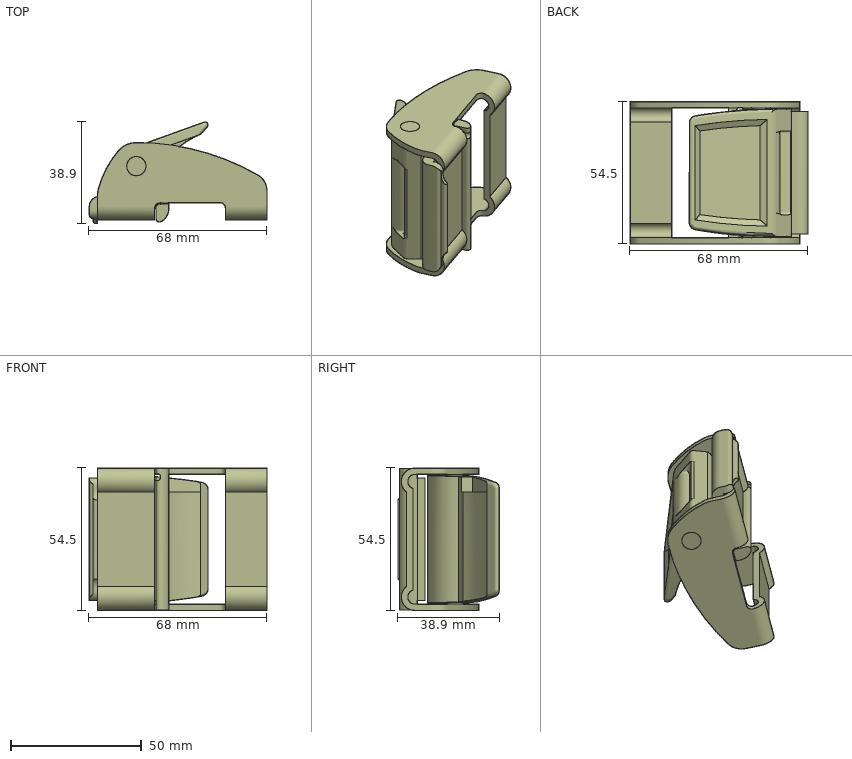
import cadquery as cq
import math

REACH = 68

PIN_X = 14.9
PIN_Y = 20.6
PIN_SHAFT_RADIUS = 3.0
PIN_HEAD_RADIUS = 3.7

FRAME_LENGTH = 64.9
FRAME_WIDTH = 54.5
FRAME_HALF_WIDTH = FRAME_WIDTH / 2
SHEET = 2.45
BEND_RADIUS = 5.2
BASE_RECESS = 2.0
CREST_RADIUS = 9.05
BACK_RADIUS = 93.15
TAIL_RADIUS = 7.1
WINDOW_START = 21.9
WINDOW_END = 48.9
WINDOW_TOP = 6.6
WINDOW_CORNER = 2.05

PAD_HALF_WIDTH = 23.45
PAD_TOP = 9.1
PAD_BOTTOM = BASE_RECESS + SHEET
PAD_END = 27.1
NOSE_OVERHANG = 3.1
NOSE_RADIUS = 4.1
NOSE_LOW_RADIUS = 1.4
NOSE_LOW = 2.05
LIP_BOTTOM = -1.35
LIP_OVERHANG = 1.6
LIP_RADIUS = 1.0
ROD_START = 22.4
ROD_END = 27.35
ROD_TOP = 6.1
ROD_BOTTOM = -0.75
ROD_HALF_WIDTH = 27.05

LEVER_HALF_WIDTH = 24.35
HANDLE_ANGLE = 19.8
HANDLE_TOP = 7.1
HANDLE_THICKNESS = 3.95


def circle_point(center_x, center_y, radius, degrees):
    angle = math.radians(degrees)
    return (center_x + radius * math.cos(angle), center_y + radius * math.sin(angle))


def handle_point(along, above):
    """A point in XY from its distances along and square to the handle, measured from the pin axis."""
    slope = math.radians(HANDLE_ANGLE)
    return (
        PIN_X + along * math.cos(slope) - above * math.sin(slope),
        PIN_Y + along * math.sin(slope) + above * math.cos(slope),
    )


def slab(sketch, z_low, z_high):
    """Extrude an XY outline between two heights."""
    return sketch.extrude(z_high - z_low).translate((0, 0, z_low))


def frame_section():
    bend_z = FRAME_HALF_WIDTH - BEND_RADIUS
    inner_radius = BEND_RADIUS - SHEET
    base_inside = BASE_RECESS + SHEET
    outer_crease = bend_z - math.sqrt(BEND_RADIUS**2 - (BEND_RADIUS - BASE_RECESS) ** 2)
    inner_crease = bend_z - math.sqrt(inner_radius**2 - (BEND_RADIUS - base_inside) ** 2)
    plate_inside = FRAME_HALF_WIDTH - SHEET
    outer_mid = circle_point(BEND_RADIUS, bend_z, BEND_RADIUS, 160)
    inner_mid = circle_point(BEND_RADIUS, bend_z, inner_radius, 150)
    return (
        cq.Workplane("YZ")
        .moveTo(REACH, FRAME_HALF_WIDTH)
        .lineTo(BEND_RADIUS, FRAME_HALF_WIDTH)
        .threePointArc(outer_mid, (BASE_RECESS, outer_crease))
        .lineTo(BASE_RECESS, -outer_crease)
        .threePointArc((outer_mid[0], -outer_mid[1]), (BEND_RADIUS, -FRAME_HALF_WIDTH))
        .lineTo(REACH, -FRAME_HALF_WIDTH)
        .lineTo(REACH, -plate_inside)
        .lineTo(BEND_RADIUS, -plate_inside)
        .threePointArc((inner_mid[0], -inner_mid[1]), (base_inside, -inner_crease))
        .lineTo(base_inside, inner_crease)
        .threePointArc(inner_mid, (BEND_RADIUS, plate_inside))
        .lineTo(REACH, plate_inside)
        .close()
    )


def side_outline():
    crest_y = PIN_Y + CREST_RADIUS
    back_y = crest_y - BACK_RADIUS
    tail_x = FRAME_LENGTH - TAIL_RADIUS
    tail_y = back_y + math.sqrt((BACK_RADIUS - TAIL_RADIUS) ** 2 - (tail_x - PIN_X) ** 2)
    tail_angle = math.degrees(math.atan2(tail_y - back_y, tail_x - PIN_X))
    return (
        cq.Workplane("XY")
        .moveTo(0, 0)
        .lineTo(0, 9.2)
        .tangentArcPoint((0.5, 12.4), relative=False)
        .threePointArc((3.55, 19.9), circle_point(PIN_X, PIN_Y, CREST_RADIUS, 142))
        .threePointArc(circle_point(PIN_X, PIN_Y, CREST_RADIUS, 114), (PIN_X, crest_y))
        .threePointArc(
            circle_point(PIN_X, back_y, BACK_RADIUS, (90 + tail_angle) / 2),
            circle_point(PIN_X, back_y, BACK_RADIUS, tail_angle),
        )
        .tangentArcPoint((FRAME_LENGTH, tail_y), relative=False)
        .lineTo(FRAME_LENGTH, 0)
        .close()
    )


def make_frame():
    sheet = frame_section().extrude(FRAME_LENGTH)
    sheet = sheet.intersect(slab(side_outline(), -REACH, REACH))
    window = cq.Workplane("XY").rect(WINDOW_END - WINDOW_START, 2 * WINDOW_TOP).extrude(2 * REACH)
    window = window.edges("|Z").fillet(WINDOW_CORNER)
    window = window.translate(((WINDOW_START + WINDOW_END) / 2, 0, -REACH))
    pin_hole = slab(cq.Workplane("XY").center(PIN_X, PIN_Y).circle(PIN_HEAD_RADIUS), -REACH, REACH)
    return sheet.cut(window).cut(pin_hole)


def make_pin():
    center = cq.Workplane("XY").center(PIN_X, PIN_Y)
    inside = FRAME_HALF_WIDTH - SHEET
    pin = slab(center.circle(PIN_SHAFT_RADIUS), -inside, inside)
    for low in (-FRAME_HALF_WIDTH, inside):
        pin = pin.union(slab(center.circle(PIN_HEAD_RADIUS), low, low + SHEET))
    return pin


def pad_profile():
    nose_x = NOSE_RADIUS - NOSE_OVERHANG
    low_x = NOSE_LOW_RADIUS - NOSE_OVERHANG
    return (
        cq.Workplane("XY")
        .moveTo(PAD_END, PAD_TOP)
        .lineTo(nose_x, PAD_TOP)
        .tangentArcPoint((-NOSE_OVERHANG, PAD_TOP - NOSE_RADIUS), relative=False)
        .lineTo(-NOSE_OVERHANG, NOSE_LOW)
        .tangentArcPoint((low_x, NOSE_LOW - NOSE_LOW_RADIUS), relative=False)
        .lineTo(-LIP_OVERHANG, NOSE_LOW - NOSE_LOW_RADIUS)
        .lineTo(-LIP_OVERHANG, LIP_BOTTOM + LIP_RADIUS)
        .tangentArcPoint((LIP_RADIUS - LIP_OVERHANG, LIP_BOTTOM), relative=False)
        .lineTo(0, LIP_BOTTOM)
        .lineTo(0, PAD_BOTTOM)
        .lineTo(PAD_END, PAD_BOTTOM)
        .close()
    )


def pad_end_outline():
    """Pad seen along X: its corners follow the frame bends and the lip sits between the beads."""
    corner_radius = 3.2
    neck_y = 0.5
    neck_z = 18.9
    lip_half_width = 15.1
    lip_mid = (-0.15, 16.45)
    corner_z = PAD_HALF_WIDTH - corner_radius
    outline = cq.Workplane("YZ").moveTo(PAD_TOP, PAD_HALF_WIDTH)
    outline = outline.lineTo(neck_y + corner_radius, PAD_HALF_WIDTH)
    outline = outline.tangentArcPoint((neck_y, corner_z), relative=False)
    outline = outline.lineTo(neck_y, neck_z)
    outline = outline.threePointArc(lip_mid, (LIP_BOTTOM, lip_half_width))
    outline = outline.lineTo(LIP_BOTTOM, 0).lineTo(PAD_TOP, 0).close()
    half = outline.extrude(2 * REACH).translate((-REACH, 0, 0))
    return half.union(half.mirror("XY"))


def make_rod():
    bottom_radius = 1.5
    belly_y = 4.3
    corner = 0.9
    profile = (
        cq.Workplane("XY")
        .moveTo(ROD_START, ROD_TOP - corner)
        .lineTo(ROD_START + corner, ROD_TOP)
        .lineTo(ROD_END, ROD_TOP)
        .lineTo(ROD_END, belly_y)
        .tangentArcPoint((24.5, -0.55), relative=False)
        .threePointArc((ROD_START + bottom_radius, ROD_BOTTOM), (ROD_START, ROD_BOTTOM + bottom_radius))
        .close()
    )
    return slab(profile, -ROD_HALF_WIDTH, ROD_HALF_WIDTH)


def rod_slot():
    """Rounded opening in the side of the rod, at one end only."""
    slot_length = 4.1
    slot_width = 2.5
    slot_bottom = 24.1
    slot_z = 23.7
    slot_round = 1.0
    slot = cq.Workplane("XY").box(slot_length, 2 * REACH, slot_width).edges("|Y").fillet(slot_round)
    return slot.translate((slot_bottom - slot_length / 2, 0, slot_z))


def make_pad():
    plate = slab(pad_profile(), -PAD_HALF_WIDTH, PAD_HALF_WIDTH).intersect(pad_end_outline())
    return plate.union(make_rod()).cut(rod_slot())


def lever_profile():
    underside = HANDLE_TOP - HANDLE_THICKNESS
    return (
        cq.Workplane("XY")
        .moveTo(*handle_point(0.35, HANDLE_TOP))
        .lineTo(*handle_point(30.05, HANDLE_TOP))
        .tangentArcPoint((42.0, 35.6), relative=False)
        .lineTo(*handle_point(27.3, underside))
        .threePointArc((31.55, 28.15), (27.05, 23.6))
        .lineTo(22.45, 21.75)
        .threePointArc((18.7, 13.25), (11.55, 10.0))
        .threePointArc((7.8, 10.5), (5.2, 11.9))
        .lineTo(3.4, 16.85)
        .threePointArc((3.3, 17.8), (3.7, 18.55))
        .lineTo(8.9, 25.1)
        .tangentArcPoint(handle_point(-2.0, HANDLE_TOP), relative=False)
        .close()
    )


def handle_plane(above):
    """Plane parallel to the handle's upper face, with its x along the handle."""
    slope = math.radians(HANDLE_ANGLE)
    return cq.Workplane(
        cq.Plane(
            origin=(*handle_point(0, above), 0),
            xDir=(math.cos(slope), math.sin(slope), 0),
            normal=(-math.sin(slope), math.cos(slope), 0),
        )
    )


def lever_plan():
    """Lever seen square to the handle: straight at the cam, then narrowing to a rounded tip."""
    back = -34
    taper_start = -6.3
    corner_start = 28.4
    tip_half_width = 21.75
    corner = 3.0
    tip = corner_start + corner
    end_half_width = tip_half_width - corner
    half = (
        handle_plane(-REACH / 2)
        .moveTo(back, 0)
        .lineTo(back, LEVER_HALF_WIDTH)
        .lineTo(taper_start, LEVER_HALF_WIDTH)
        .tangentArcPoint((corner_start, tip_half_width), relative=False)
        .tangentArcPoint((tip, end_half_width), relative=False)
        .lineTo(tip, 0)
        .close()
        .extrude(REACH)
    )
    return half.union(half.mirror("XY"))


def grip_recess():
    """Tapered pocket in the upper face of the handle."""
    depth = 1.35
    wall_taper = 60
    start = 0.0
    end = 29.25
    start_half_width = 20.4
    mid_half_width = 19.7
    end_half_width = 18.0
    mid = (start + end) / 2
    return (
        handle_plane(HANDLE_TOP)
        .moveTo(start, -start_half_width)
        .threePointArc((mid, -mid_half_width), (end, -end_half_width))
        .lineTo(end, end_half_width)
        .threePointArc((mid, mid_half_width), (start, start_half_width))
        .close()
        .extrude(-depth, taper=wall_taper)
    )


def finger_groove():
    """Groove across the cam's rear corner, with a rounded upper lip and a flat shelf."""
    half_length = 16.05
    end_round = 0.95
    groove = (
        cq.Workplane("XY")
        .moveTo(8.6, 24.5)
        .threePointArc((7.7, 22.2), (8.3, 19.8))
        .lineTo(3.7, 18.1)
        .threePointArc((3.3, 17.6), (3.4, 16.9))
        .lineTo(3.7, 14.95)
        .lineTo(-3.4, 14.95)
        .lineTo(-3.4, 27.9)
        .lineTo(10.9, 27.9)
        .close()
    )
    return slab(groove, -half_length, half_length).faces("|Z").edges().fillet(end_round)


def rib_relief():
    """Space beside the thick rib under the handle; the rib runs on to the other side of the lever."""
    rib_end = 18.15
    relief_start = 10.9
    relief_end = 27.9
    relief_floor = -5.45
    underside = HANDLE_TOP - HANDLE_THICKNESS
    corners = [
        handle_point(relief_end, underside),
        handle_point(relief_start, underside),
        handle_point(relief_start, relief_floor),
        handle_point(relief_end, relief_floor),
    ]
    return slab(cq.Workplane("XY").polyline(corners).close(), rib_end, LEVER_HALF_WIDTH)


def make_lever():
    edge_round = 1.1
    lever = slab(lever_profile(), -LEVER_HALF_WIDTH, LEVER_HALF_WIDTH).intersect(lever_plan())
    upper_face = cq.NearestToPointSelector((*handle_point(13.6, HANDLE_TOP), 0))
    lever = lever.faces(upper_face).edges("not |Z").fillet(edge_round)
    pin_bore = cq.Workplane("XY").center(PIN_X, PIN_Y).circle(PIN_SHAFT_RADIUS)
    lever = lever.cut(slab(pin_bore, -LEVER_HALF_WIDTH, LEVER_HALF_WIDTH))
    return lever.cut(grip_recess()).cut(finger_groove()).cut(rib_relief())


frame = make_frame()
pin = make_pin()
pad = make_pad()
lever = make_lever()

result = cq.Compound.makeCompound([frame.val(), pin.val(), pad.val(), lever.val()])